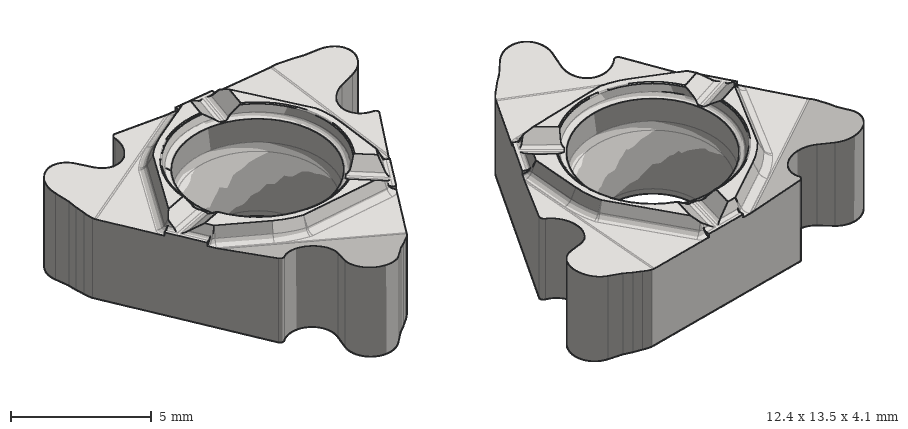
import cadquery as cq
import math

TOOTH_COUNT = 3
TURN = 360 / TOOTH_COUNT

TOTAL_HEIGHT = 4.1
FLOOR_HEIGHT = 3.5
LEDGE_HEIGHT = 3.65

FLAT_DISTANCE = 4.76
FLAT_TOP = 4.41
TOOTH_RADIUS = 1.0
NOSE_X, NOSE_Y = -3.26, 5.8
GULLET_X, GULLET_Y = -1.16, 5.72
TIP_RADIUS = 0.16
FLANK_TOP_Y = 5.48
FLANK_MIDDLE = (-4.53, 5.14)
FLANK_BOTTOM = (-4.65, 4.79)
FLANK_ARC_MIDDLE = (-4.72, 4.6)

RAMP_START = 4.32
RAMP_ANGLE = 10
RAMP_BLEND_RADIUS = 0.4

BOSS_RADIUS = 3.73
BOSS_CORNER_ANGLE = 108
BOSS_SIDE_ANGLE = 31.8
BOSS_CLIP_DISTANCE = 4.28
BOSS_TAPER = 28
BOSS_BASE_RADIUS = 0.35

LEDGE_INNER_DISTANCE = 4.61
LEDGE_Y_RANGE = (0.0, 1.65)

CHANNEL_POINT = (-4.57, 1.15)
CHANNEL_ANGLE = -12
CHANNEL_LENGTH = 1.55
CHANNEL_OVERRUN = 0.68
CHANNEL_FLOOR_HALF_WIDTH = 0.05
CHANNEL_BLEND_RADIUS = 0.32
CHANNEL_WALL_ANGLE = 36
CUTTER_CLEARANCE = 0.14

THROAT_RADIUS = 2.2
THROAT_HEIGHT = 0.25
BOWL_TOP = (2.92, 2.34)
BOWL_ARC_RADIUS = 4.06
BORE_RADIUS = 3.07
BORE_BOTTOM = 2.64
RIM_INNER_RADIUS = 3.11
RIM_WALL_BOTTOM = (3.31, 3.79)
RIM_TOP_RADIUS = 3.44
RIM_EDGE_SETBACK = 0.04

BLANK_SIZE = 10.82


def polar(radius, degrees):
    angle = math.radians(degrees)
    return (radius * math.cos(angle), radius * math.sin(angle))


def around(center, radius, degrees):
    dx, dy = polar(radius, degrees)
    return (center[0] + dx, center[1] + dy)


def turned(point, degrees):
    c = math.cos(math.radians(degrees))
    s = math.sin(math.radians(degrees))
    return (point[0] * c - point[1] * s, point[0] * s + point[1] * c)


def repeat(solid):
    """Three copies of a workpiece around the Z axis."""
    copies = solid
    for i in range(1, TOOTH_COUNT):
        copies = copies.union(solid.rotate((0, 0, 0), (0, 0, 1), i * TURN))
    return copies


def gullet_end():
    """Point where the gullet arc meets the flat on the tooth's right."""
    normal = polar(1, 60)
    along = polar(1, 150)
    offset = FLAT_DISTANCE - GULLET_X * normal[0] - GULLET_Y * normal[1]
    half_chord = math.sqrt(TOOTH_RADIUS**2 - offset**2)
    return (
        GULLET_X + offset * normal[0] - half_chord * along[0],
        GULLET_Y + offset * normal[1] - half_chord * along[1],
    )


def outline_prism():
    nose = (NOSE_X, NOSE_Y)
    gullet = (GULLET_X, GULLET_Y)
    spacing = math.hypot(GULLET_X - NOSE_X, GULLET_Y - NOSE_Y)
    center_line = math.degrees(math.atan2(GULLET_Y - NOSE_Y, GULLET_X - NOSE_X))
    tangent_angle = center_line + math.degrees(math.acos(2 * TOOTH_RADIUS / spacing))
    flank_angle = 180 - tangent_angle
    nose_left = around(nose, TOOTH_RADIUS, flank_angle)
    run = (nose_left[1] - FLANK_TOP_Y) * math.tan(math.radians(tangent_angle))
    end = gullet_end()
    tooth = [
        ("line", (-FLAT_DISTANCE, FLAT_TOP)),
        ("arc", FLANK_ARC_MIDDLE, FLANK_BOTTOM),
        ("line", FLANK_MIDDLE),
        ("line", (nose_left[0] - run, FLANK_TOP_Y)),
        ("line", nose_left),
        ("arc", around(nose, TOOTH_RADIUS, 90), around(nose, TOOTH_RADIUS, tangent_angle)),
        ("line", around(gullet, TOOTH_RADIUS, tangent_angle + 180)),
        ("arc", around(gullet, TOOTH_RADIUS, 270), end),
    ]
    sketch = cq.Workplane("XY").moveTo(*turned(end, TURN))
    for i in range(TOOTH_COUNT):
        for kind, *points in tooth:
            placed = [turned(p, -i * TURN) for p in points]
            if kind == "line":
                sketch = sketch.lineTo(*placed[0])
            else:
                sketch = sketch.threePointArc(*placed)
    prism = sketch.close().extrude(TOTAL_HEIGHT)
    tips = []
    for i in range(TOOTH_COUNT):
        nearest = cq.selectors.NearestToPointSelector((*turned(end, i * TURN), TOTAL_HEIGHT / 2))
        tips += prism.edges("|Z").edges(nearest).vals()
    return prism.newObject(tips).fillet(TIP_RADIUS)


def ramp():
    angle = math.radians(RAMP_ANGLE)
    reach = RAMP_BLEND_RADIUS * math.tan(angle / 2)
    blend_end = (RAMP_START + reach * math.cos(angle), FLOOR_HEIGHT + reach * math.sin(angle))
    far_height = FLOOR_HEIGHT + (BLANK_SIZE - RAMP_START) * math.tan(angle)
    return (
        cq.Workplane("YZ")
        .moveTo(RAMP_START - 2 * reach, FLOOR_HEIGHT)
        .lineTo(RAMP_START - reach, FLOOR_HEIGHT)
        .tangentArcPoint(blend_end, relative=False)
        .lineTo(BLANK_SIZE, far_height)
        .lineTo(BLANK_SIZE, 0)
        .lineTo(RAMP_START - 2 * reach, 0)
        .close()
        .extrude(BLANK_SIZE, both=True)
    )


def boss_on_floor():
    """Wide floor slab with the tapered boss blended onto it."""
    corner = polar(BOSS_RADIUS, BOSS_CORNER_ANGLE)
    slope = math.tan(math.radians(BOSS_SIDE_ANGLE))
    side_end = (-BOSS_CLIP_DISTANCE, corner[1] - slope * (corner[0] + BOSS_CLIP_DISTANCE))
    clip_x = (BOSS_CLIP_DISTANCE - BOSS_RADIUS * math.cos(math.radians(30))) / math.sin(math.radians(30))
    clip_start = (clip_x, BOSS_RADIUS)
    sketch = cq.Workplane("XY").moveTo(*turned(clip_start, TURN))
    for i in range(TOOTH_COUNT):
        spin = -i * TURN
        middle = polar(BOSS_RADIUS, (90 + BOSS_CORNER_ANGLE) / 2 + spin)
        sketch = (
            sketch.lineTo(*turned(side_end, spin))
            .lineTo(*turned(corner, spin))
            .threePointArc(middle, polar(BOSS_RADIUS, 90 + spin))
            .lineTo(*turned(clip_start, spin))
        )
    boss = sketch.close().extrude(TOTAL_HEIGHT - FLOOR_HEIGHT, taper=-BOSS_TAPER)
    boss = boss.mirror("XY").translate((0, 0, TOTAL_HEIGHT))
    slab = cq.Workplane("XY").circle(BLANK_SIZE).extrude(FLOOR_HEIGHT)
    joined = slab.union(boss)
    floor = joined.faces("|Z").faces("not(>Z or <Z)").val()
    foot = floor.innerWires()[0].Edges()
    return joined.newObject(foot).fillet(BOSS_BASE_RADIUS)


def ledge():
    """Ledge along the flat, blended into the boss wall above it."""
    low, high = LEDGE_Y_RANGE
    taper = math.radians(BOSS_TAPER)
    wall_foot = BOSS_CLIP_DISTANCE + (TOTAL_HEIGHT - LEDGE_HEIGHT) * math.tan(taper)
    setback = LEDGE_INNER_DISTANCE - wall_foot
    blend_top = (
        -wall_foot + setback * math.sin(taper),
        LEDGE_HEIGHT + setback * math.cos(taper),
    )
    profile = (
        cq.Workplane("XZ")
        .moveTo(-FLAT_DISTANCE, LEDGE_HEIGHT)
        .lineTo(-LEDGE_INNER_DISTANCE, LEDGE_HEIGHT)
        .tangentArcPoint(blend_top, relative=False)
        .lineTo(blend_top[0], 0)
        .lineTo(-FLAT_DISTANCE, 0)
        .close()
    )
    return profile.extrude(low - high).translate((0, low, 0))


def channel():
    """V-shaped cutter with a narrow flat bottom, running inwards from CHANNEL_POINT."""
    angle = math.radians(CHANNEL_WALL_ANGLE)
    blend_x = CHANNEL_FLOOR_HALF_WIDTH + CHANNEL_BLEND_RADIUS * math.sin(angle)
    blend_rise = CHANNEL_BLEND_RADIUS * (1 - math.cos(angle))
    rise = TOTAL_HEIGHT - LEDGE_HEIGHT + CUTTER_CLEARANCE
    top_x = blend_x + (rise - blend_rise) / math.tan(angle)
    half_profile = (
        cq.Workplane("YZ")
        .lineTo(CHANNEL_FLOOR_HALF_WIDTH, 0)
        .tangentArcPoint((blend_x, blend_rise), relative=False)
        .lineTo(top_x, rise)
        .lineTo(0, rise)
        .close()
    )
    half_cutter = half_profile.extrude(CHANNEL_OVERRUN + CHANNEL_LENGTH)
    cutter = half_cutter.union(half_cutter.mirror("XZ"))
    return (
        cutter.translate((-CHANNEL_OVERRUN, 0, LEDGE_HEIGHT))
        .rotate((0, 0, 0), (0, 0, 1), CHANNEL_ANGLE)
        .translate((*CHANNEL_POINT, 0))
    )


def screw_hole():
    bowl_mid_height = (THROAT_HEIGHT + BOWL_TOP[1]) / 2
    sag = BOWL_ARC_RADIUS - math.sqrt(BOWL_ARC_RADIUS**2 - (bowl_mid_height - THROAT_HEIGHT) ** 2)
    wall_lean = math.atan2(RIM_TOP_RADIUS - RIM_WALL_BOTTOM[0], TOTAL_HEIGHT - RIM_WALL_BOTTOM[1])
    rounding_start = (
        RIM_TOP_RADIUS - RIM_EDGE_SETBACK * math.sin(wall_lean),
        TOTAL_HEIGHT - RIM_EDGE_SETBACK * math.cos(wall_lean),
    )
    return (
        cq.Workplane("XZ")
        .moveTo(0, 0)
        .lineTo(THROAT_RADIUS, 0)
        .lineTo(THROAT_RADIUS, THROAT_HEIGHT)
        .threePointArc((THROAT_RADIUS + sag, bowl_mid_height), BOWL_TOP)
        .tangentArcPoint((BORE_RADIUS, BORE_BOTTOM), relative=False)
        .lineTo(BORE_RADIUS, LEDGE_HEIGHT)
        .lineTo(RIM_INNER_RADIUS, LEDGE_HEIGHT)
        .tangentArcPoint(RIM_WALL_BOTTOM, relative=False)
        .lineTo(*rounding_start)
        .tangentArcPoint((RIM_TOP_RADIUS + RIM_EDGE_SETBACK, TOTAL_HEIGHT), relative=False)
        .lineTo(0, TOTAL_HEIGHT)
        .close()
        .revolve(360, (0, 0, 0), (0, 1, 0))
    )


upper_shape = boss_on_floor().union(repeat(ramp().union(ledge())))
body = upper_shape.intersect(outline_prism())
result = body.cut(repeat(channel())).cut(screw_hole())